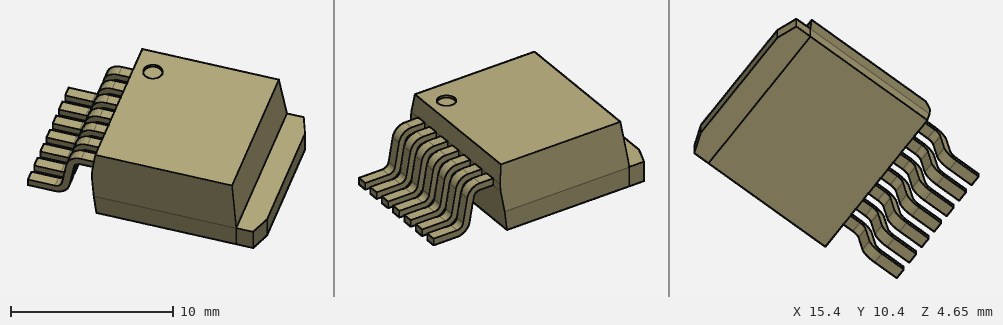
import cadquery as cq
import math


total_length = 15.37
total_width = 10.4
total_height = 4.65

draft = math.tan(math.radians(7.0))
lead_face_x = 4.4
housing_end_x = 13.79
half_width = total_width / 2

tab_height = 1.43
tab_corner_length = 0.49
tab_corner_width = 1.3

lead_count = 7
lead_span = 7.62
lead_pitch = lead_span / (lead_count - 1)
lead_width = 0.72
lead_thickness = 0.49
lead_top_z = 3.35
foot_length = 1.74
inner_radius = 0.46
outer_radius = inner_radius + lead_thickness
lead_lean = math.radians(10.0)
lead_bottom_z = lead_top_z - lead_thickness

recess_x = 5.78
recess_y = 3.12
recess_diameter = 1.2
recess_depth = 0.17


def make_housing():
    """Drafted block: a side outline intersected with an end outline, with the pin 1 recess."""
    draft_height = total_height - tab_height
    side_outline = [
        (lead_face_x + draft * lead_bottom_z, 0),
        (housing_end_x, 0),
        (housing_end_x, tab_height),
        (housing_end_x - draft * draft_height, total_height),
        (lead_face_x + draft * (total_height - lead_top_z), total_height),
        (lead_face_x, lead_top_z),
        (lead_face_x, lead_bottom_z),
    ]
    top_half_width = half_width - draft * draft_height
    end_outline = [
        (-half_width, 0),
        (half_width, 0),
        (half_width, tab_height),
        (top_half_width, total_height),
        (-top_half_width, total_height),
        (-half_width, tab_height),
    ]
    side_prism = cq.Workplane("XZ").polyline(side_outline).close().extrude(half_width, both=True)
    end_prism = cq.Workplane("YZ").polyline(end_outline).close().extrude(total_length)
    recess = (
        cq.Workplane("XY", origin=(recess_x, recess_y, total_height - recess_depth))
        .circle(recess_diameter / 2)
        .extrude(recess_depth)
    )
    return side_prism.intersect(end_prism).cut(recess)


def make_tab():
    """Flat metal tab with two cut corners, butted against the housing end wall."""
    corner_x = total_length - tab_corner_length
    end_half_width = half_width - tab_corner_width
    outline = [
        (housing_end_x, -half_width),
        (corner_x, -half_width),
        (total_length, -end_half_width),
        (total_length, end_half_width),
        (corner_x, half_width),
        (housing_end_x, half_width),
    ]
    return cq.Workplane("XY").polyline(outline).close().extrude(tab_height)


def make_lead(center_y):
    """Gull-wing lead: foot, lower bend, leaning riser, upper bend and shoulder."""
    lower_center = (foot_length, outer_radius)
    center_rise = lead_top_z - 2 * outer_radius
    radius_sum = inner_radius + outer_radius
    center_run = radius_sum / math.cos(lead_lean) + center_rise * math.tan(lead_lean)
    upper_center = (foot_length + center_run, lead_top_z - outer_radius)

    def lower_bend(radius, angle):
        return (
            lower_center[0] + radius * math.cos(angle),
            lower_center[1] + radius * math.sin(angle),
        )

    def upper_bend(radius, angle):
        return (
            upper_center[0] - radius * math.cos(angle),
            upper_center[1] - radius * math.sin(angle),
        )

    flat_angle = -math.pi / 2
    riser_angle = -lead_lean
    middle_angle = (flat_angle + riser_angle) / 2
    return (
        cq.Workplane("XZ", origin=(0, center_y, 0))
        .moveTo(0, 0)
        .lineTo(*lower_bend(outer_radius, flat_angle))
        .threePointArc(lower_bend(outer_radius, middle_angle), lower_bend(outer_radius, riser_angle))
        .lineTo(*upper_bend(inner_radius, riser_angle))
        .threePointArc(upper_bend(inner_radius, middle_angle), upper_bend(inner_radius, flat_angle))
        .lineTo(lead_face_x, lead_bottom_z)
        .lineTo(lead_face_x, lead_top_z)
        .lineTo(*upper_bend(outer_radius, flat_angle))
        .threePointArc(upper_bend(outer_radius, middle_angle), upper_bend(outer_radius, riser_angle))
        .lineTo(*lower_bend(inner_radius, riser_angle))
        .threePointArc(lower_bend(inner_radius, middle_angle), lower_bend(inner_radius, flat_angle))
        .lineTo(0, lead_thickness)
        .close()
        .extrude(lead_width / 2, both=True)
    )


housing = make_housing()
tab = make_tab()
first_lead_y = -lead_span / 2
leads = [make_lead(first_lead_y + index * lead_pitch) for index in range(lead_count)]

result = cq.Compound.makeCompound([housing.val(), tab.val(), *[lead.val() for lead in leads]])